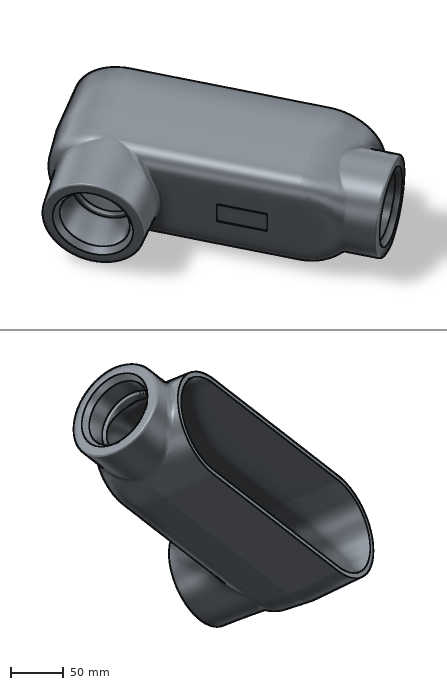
import cadquery as cq
import math


length = 335.0
width = 116.0
back_y = 59.3
face_y = -53.5
back_draft = 1.6
front_draft = 5.0
face_fillet = 25.0
end_radius = width / 2
right_arc_x = 256.2
wall = 5.5

hub_diameter = 101.5
hub_tip_y = -100.0
hub_x = 66.3
hub_draft = 3.0
end_face_draft = 1.0
front_hub_root_y = -20.0
rim_fillet = 2.5
root_fillet = 5.5

mouth_diameter = 80.0
mouth_depth = 6.5
thread_diameter = 69.5
bushing_diameter = 62.0
bushing_rounding = 1.5
front_thread_depth = 47.0
front_bore_depth = 60.3
end_thread_depth = 26.8
end_bore_depth = 67.0

plate_x = 201.3
plate_length = 50.2
plate_height = 22.5
plate_depth = 1.0
plate_corner = 1.7


def oblong(radius, depth, draft):
    """Tapered slot from the parting plane towards -Y (depth > 0) or +Y (depth < 0)."""
    span = right_arc_x - end_radius
    return (
        cq.Workplane("XZ")
        .center(end_radius + span / 2, 0)
        .slot2D(span + 2 * radius, 2 * radius)
        .extrude(depth, taper=draft)
    )


def shell_solid(inset):
    """Housing shape, with every face but the back one moved inwards by the inset."""
    front = oblong(end_radius - inset, -face_y - inset, front_draft)
    front = front.faces("<Y").edges().fillet(face_fillet - inset)
    return front.union(oblong(end_radius - inset, -back_y, back_draft))


def front_hub():
    """Tapered hub pointing towards -Y."""
    height = front_hub_root_y - hub_tip_y
    root_radius = hub_diameter / 2 + height * math.tan(math.radians(hub_draft))
    return (
        cq.Workplane("XZ", origin=(hub_x, front_hub_root_y, 0))
        .circle(root_radius)
        .extrude(height, taper=hub_draft)
        .faces("<Y")
        .edges()
        .fillet(rim_fillet)
    )


def end_hub():
    """Straight hub pointing towards +X, its end face drafted back from the parting plane."""
    radius = hub_diameter / 2
    setback = radius * math.tan(math.radians(end_face_draft))
    cylinder = cq.Workplane("YZ", origin=(right_arc_x, 0, 0)).circle(radius).extrude(length - right_arc_x)
    envelope = (
        cq.Workplane("XY")
        .moveTo(right_arc_x, -radius)
        .lineTo(length - setback, -radius)
        .lineTo(length, 0)
        .lineTo(length - setback, radius)
        .lineTo(right_arc_x, radius)
        .close()
        .extrude(radius, both=True)
    )
    hub = cylinder.intersect(envelope)
    rim = hub.edges("not(|Z or %LINE or <X)")
    return rim.fillet(rim_fillet)


def bore(thread_depth, total_depth):
    """Bore tool running from the origin towards +Y: flared mouth, thread, bushing."""
    thread_radius = thread_diameter / 2
    bushing_radius = bushing_diameter / 2
    return (
        cq.Workplane("XY")
        .lineTo(mouth_diameter / 2, 0)
        .lineTo(thread_radius, mouth_depth)
        .lineTo(thread_radius, thread_depth)
        .lineTo(bushing_radius + bushing_rounding, thread_depth)
        .radiusArc((bushing_radius, thread_depth + bushing_rounding), bushing_rounding)
        .lineTo(bushing_radius, total_depth)
        .lineTo(0, total_depth)
        .close()
        .revolve(360, (0, 0, 0), (0, 1, 0))
    )


def nameplate():
    """Shallow pocket in the flat front face."""
    return (
        cq.Workplane("XZ", origin=(plate_x, face_y + plate_depth, 0))
        .rect(plate_length, plate_height)
        .extrude(plate_depth)
        .edges("|Y")
        .fillet(plate_corner)
    )


def add_hub(body, hub, side_type, outward):
    """Join a hub and round the corner along its root, not its rim or its side seam."""
    joined = body.union(hub)
    root = joined.faces(side_type).faces(outward).edges(f"not({outward} or %LINE)")
    return root.fillet(root_fillet)


housing = shell_solid(0)
housing = add_hub(housing, front_hub(), "%CONE", "<Y")
housing = add_hub(housing, end_hub(), "%CYLINDER", ">X")

front_bore = bore(front_thread_depth, front_bore_depth).translate((hub_x, hub_tip_y, 0))
end_bore = bore(end_thread_depth, end_bore_depth)
end_bore = end_bore.rotate((0, 0, 0), (0, 0, 1), 90).translate((length, 0, 0))

result = housing.cut(shell_solid(wall)).cut(front_bore).cut(end_bore).cut(nameplate())